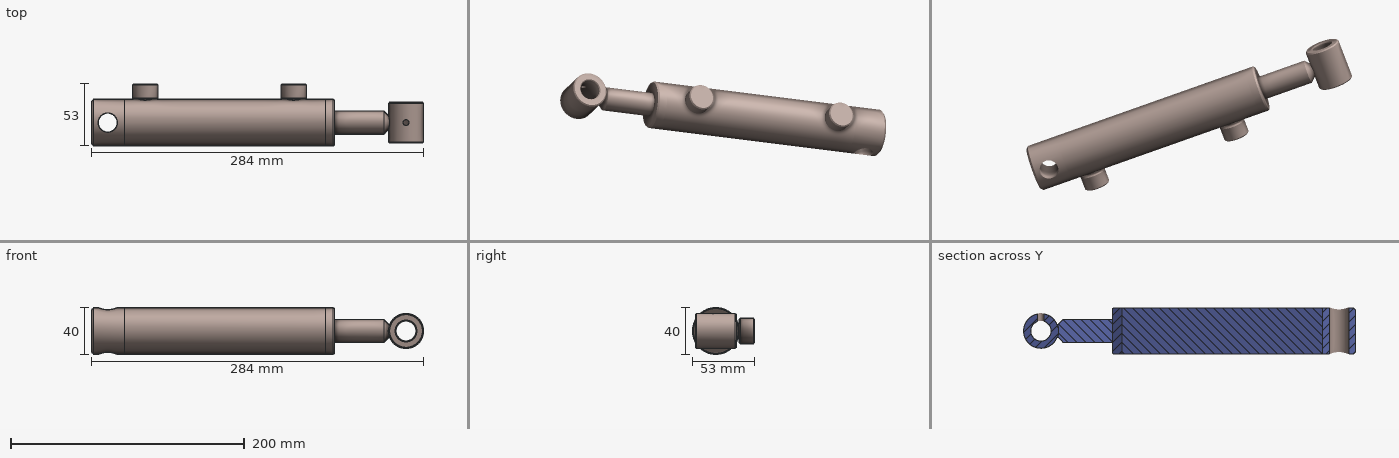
import cadquery as cq

body_diameter = 40.0
body_radius = body_diameter / 2

cap_length = 28.5
cap_chamfer = 2.0
cap_hole_diameter = 16.2
cap_hole_x = 14.0

barrel_length = 171.5
gland_length = 8.0
gland_chamfer_length = 1.5
gland_chamfer_depth = 0.8

rod_diameter = 20.0
rod_straight_length = 42.0
rod_tip_chamfer = 5.0

eye_diameter = 30.0
eye_width = 35.0
eye_bore_diameter = 17.0
eye_outer_chamfer = 1.0
eye_bore_chamfer = 0.8
grease_hole_diameter = 5.0
eye_x = 269.0

port_diameter = 22.0
port_height = 13.0
port_chamfer = 1.0
port_neck_diameter = 12.0
port_positions = (46.0, 173.0)

barrel_start = cap_length
gland_start = barrel_start + barrel_length
rod_start = gland_start + gland_length


def cylinder_along_x(start, length, diameter):
    return cq.Workplane("YZ").workplane(offset=start).circle(diameter / 2).extrude(length)


def cylinder_along_y(x, start, length, diameter):
    return (
        cq.Workplane("XZ", origin=(x, start, 0))
        .circle(diameter / 2)
        .extrude(-length)
    )


def make_end_cap():
    cap = cylinder_along_x(0, cap_length, body_diameter)
    cap = cap.faces("<X").chamfer(cap_chamfer)
    cross_hole = (
        cq.Workplane("XY", origin=(cap_hole_x, 0, 0))
        .circle(cap_hole_diameter / 2)
        .extrude(body_radius, both=True)
    )
    return cap.cut(cross_hole)


def make_barrel():
    return cylinder_along_x(barrel_start, barrel_length, body_diameter)


def make_gland():
    gland = cylinder_along_x(gland_start, gland_length, body_diameter)
    return gland.faces(">X").edges().chamfer(gland_chamfer_length, gland_chamfer_depth)


def make_eye_envelope():
    return cylinder_along_y(eye_x, -eye_width / 2, eye_width, eye_diameter)


def make_rod():
    rod_length = rod_straight_length + rod_tip_chamfer
    rod = cylinder_along_x(rod_start, rod_length, rod_diameter)
    rod = rod.faces(">X").chamfer(rod_tip_chamfer)
    return rod.cut(make_eye_envelope())


def make_eye():
    eye = make_eye_envelope()
    eye = eye.faces("<Y or >Y").edges().chamfer(eye_outer_chamfer)
    bore = cylinder_along_y(eye_x, -eye_width / 2, eye_width, eye_bore_diameter)
    eye = eye.cut(bore)
    bore_rims = eye.faces("<Y or >Y").edges(cq.selectors.RadiusNthSelector(0))
    eye = bore_rims.chamfer(eye_bore_chamfer)
    grease_hole = (
        cq.Workplane("XY", origin=(eye_x, 0, 0))
        .circle(grease_hole_diameter / 2)
        .extrude(eye_diameter / 2)
    )
    return eye.cut(grease_hole)


def make_port(x):
    port = cylinder_along_y(x, body_radius, port_height, port_diameter)
    port = port.faces("<Y or >Y").edges().chamfer(port_chamfer)
    neck = cylinder_along_y(x, 0, body_radius, port_neck_diameter)
    return port.union(neck.cut(make_barrel()))


end_cap = make_end_cap()
barrel = make_barrel()
gland = make_gland()
rod = make_rod()
eye = make_eye()
ports = [make_port(x) for x in port_positions]

result = cq.Compound.makeCompound(
    [
        end_cap.val(),
        barrel.val(),
        gland.val(),
        rod.val(),
        eye.val(),
        *[port.val() for port in ports],
    ]
)